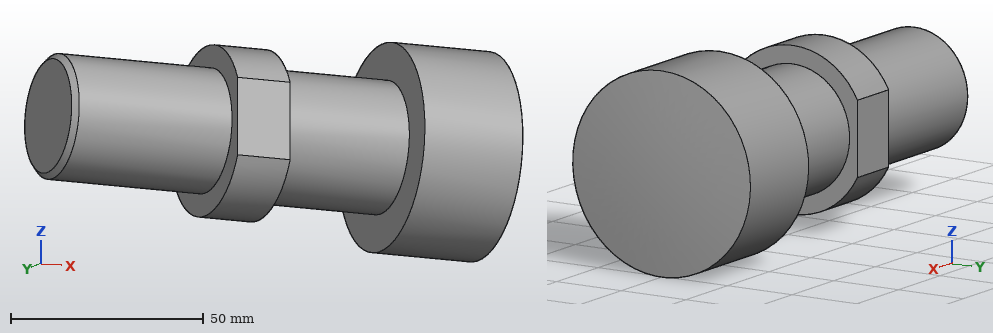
import cadquery as cq

total_length = 124.8
stud_diameter = 33.0
stud_length = 45.0
stud_chamfer = 1.5
collar_diameter = 45.0
collar_length = 15.0
collar_across_flats = 40.0
neck_diameter = 35.2
neck_length = 35.1
head_diameter = 55.0
crown_height = 1.7

collar_start = stud_length
neck_start = collar_start + collar_length
head_start = neck_start + neck_length
crown_start = total_length - crown_height


def cylinder(start, length, diameter):
    """Solid cylinder about the X axis."""
    return cq.Workplane("YZ", origin=(start, 0, 0)).circle(diameter / 2).extrude(length)


def make_stud():
    return cylinder(0, stud_length, stud_diameter).faces("<X").chamfer(stud_chamfer)


def make_collar():
    """Round collar with two wrench flats facing -Y and +Y."""
    flats = cq.Workplane("YZ", origin=(collar_start, 0, 0)).rect(
        collar_across_flats, collar_diameter
    ).extrude(collar_length)
    return cylinder(collar_start, collar_length, collar_diameter).intersect(flats)


def make_head():
    """Head with a shallow spherical crown on its outer end."""
    head_radius = head_diameter / 2
    crown_radius = (head_radius**2 + crown_height**2) / (2 * crown_height)
    half_profile = (
        cq.Workplane("XZ")
        .moveTo(head_start, 0)
        .lineTo(head_start, head_radius)
        .lineTo(crown_start, head_radius)
        .radiusArc((total_length, 0), crown_radius)
        .close()
    )
    return half_profile.revolve(360, (0, 0, 0), (1, 0, 0))


neck = cylinder(neck_start, neck_length, neck_diameter)
result = make_stud().union(make_collar()).union(neck).union(make_head())